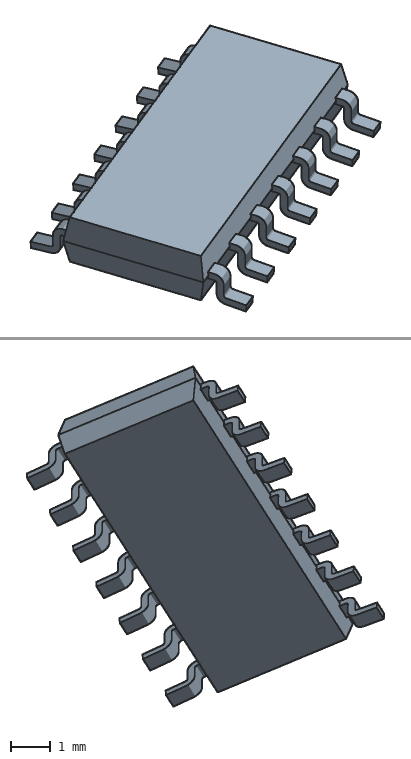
import cadquery as cq
import math

BODY_WIDTH = 3.9
BODY_LENGTH = 8.65
BODY_HEIGHT = 1.45
DRAFT_ANGLE = 10.0
OVERALL_HEIGHT = 1.55

LEADS_PER_SIDE = 7
LEAD_PITCH = 1.27
LEAD_WIDTH = 0.41
LEAD_THICKNESS = 0.21
LEAD_SPAN = 6.0
SHANK_SPAN = 4.76
INNER_BEND_RADIUS = 0.07
FOOT_TILT = 4.0
ROOT_DEPTH = 0.17

half_height = BODY_HEIGHT / 2
parting_z = OVERALL_HEIGHT - half_height
outer_bend_radius = INNER_BEND_RADIUS + LEAD_THICKNESS


def body_half(direction):
    """Half of the body, tapering up (+1) or down (-1) from the parting plane."""
    return (
        cq.Workplane("XY", origin=(0, 0, parting_z))
        .rect(BODY_WIDTH, BODY_LENGTH)
        .extrude(direction * half_height, taper=DRAFT_ANGLE)
    )


def polar(center, radius, degrees):
    """Point on a circle in the XZ plane."""
    angle = math.radians(degrees)
    return (center[0] + radius * math.cos(angle), center[1] + radius * math.sin(angle))


def make_lead():
    """One lead on the +X side, centred on Y = 0."""
    root_x = BODY_WIDTH / 2 - ROOT_DEPTH
    shank_x = SHANK_SPAN / 2
    top_z = parting_z + LEAD_THICKNESS / 2
    tilt = math.radians(FOOT_TILT)

    upper = (shank_x - outer_bend_radius, top_z - outer_bend_radius)

    lower_x = shank_x + INNER_BEND_RADIUS
    foot_reach = LEAD_SPAN / 2 - lower_x + INNER_BEND_RADIUS * math.sin(tilt)
    foot_drop = foot_reach * math.tan(tilt)
    lower = (lower_x, foot_drop + outer_bend_radius * math.cos(tilt))
    foot_angle = 270 - FOOT_TILT
    mid_angle = (180 + foot_angle) / 2

    foot_top = polar(lower, INNER_BEND_RADIUS, foot_angle)
    foot_bottom = polar(lower, outer_bend_radius, foot_angle)

    profile = (
        cq.Workplane("XZ")
        .moveTo(root_x, top_z)
        .lineTo(upper[0], top_z)
        .threePointArc(polar(upper, outer_bend_radius, 45), polar(upper, outer_bend_radius, 0))
        .lineTo(*polar(lower, INNER_BEND_RADIUS, 180))
        .threePointArc(polar(lower, INNER_BEND_RADIUS, mid_angle), foot_top)
        .lineTo(foot_top[0] + foot_reach, foot_top[1] - foot_drop)
        .lineTo(foot_bottom[0] + foot_reach, foot_bottom[1] - foot_drop)
        .lineTo(*foot_bottom)
        .threePointArc(polar(lower, outer_bend_radius, mid_angle), polar(lower, outer_bend_radius, 180))
        .lineTo(*polar(upper, INNER_BEND_RADIUS, 0))
        .threePointArc(polar(upper, INNER_BEND_RADIUS, 45), polar(upper, INNER_BEND_RADIUS, 90))
        .lineTo(root_x, top_z - LEAD_THICKNESS)
        .close()
    )
    return profile.extrude(LEAD_WIDTH / 2, both=True)


right_lead = make_lead()
left_lead = right_lead.mirror("YZ")

result = body_half(1).union(body_half(-1))
for index in range(LEADS_PER_SIDE):
    lead_y = (index - (LEADS_PER_SIDE - 1) / 2) * LEAD_PITCH
    for lead in (right_lead, left_lead):
        result = result.union(lead.translate((0, lead_y, 0)))